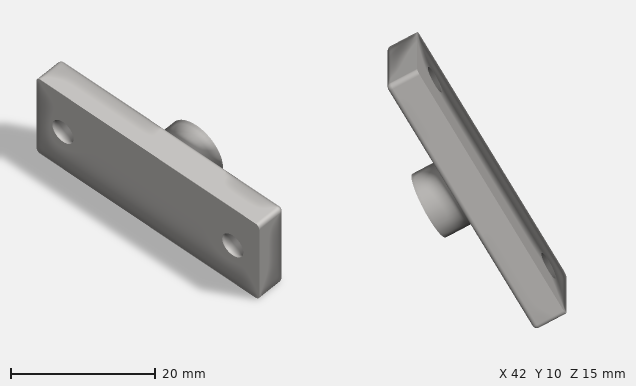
import cadquery as cq

length = 42.0
height = 15.0
thickness = 5.0
edge_radius = 0.7

boss_diameter = 10.0
boss_length = 5.0

hole_diameter = 4.0
hole_spacing = 32.0


def make_plate():
    """Plate with its front face on Y = 0, rounded at the corners and back rim."""
    plate = cq.Workplane("XY").box(length, thickness, height, centered=(True, False, True))
    plate = plate.edges("|Y").fillet(edge_radius)
    return plate.faces(">Y").edges().fillet(edge_radius)


def add_boss(body):
    """Join a central cylinder standing on the back face."""
    return (
        body.faces(">Y")
        .workplane(origin=(0, thickness, 0))
        .circle(boss_diameter / 2)
        .extrude(boss_length)
    )


def cut_mounting_holes(body):
    """Cut the two holes, one on each side of the centre."""
    hole_centres = [(-hole_spacing / 2, 0), (hole_spacing / 2, 0)]
    cutters = (
        cq.Workplane("XZ")
        .pushPoints(hole_centres)
        .circle(hole_diameter / 2)
        .extrude(-thickness)
    )
    return body.cut(cutters)


result = cut_mounting_holes(add_boss(make_plate()))